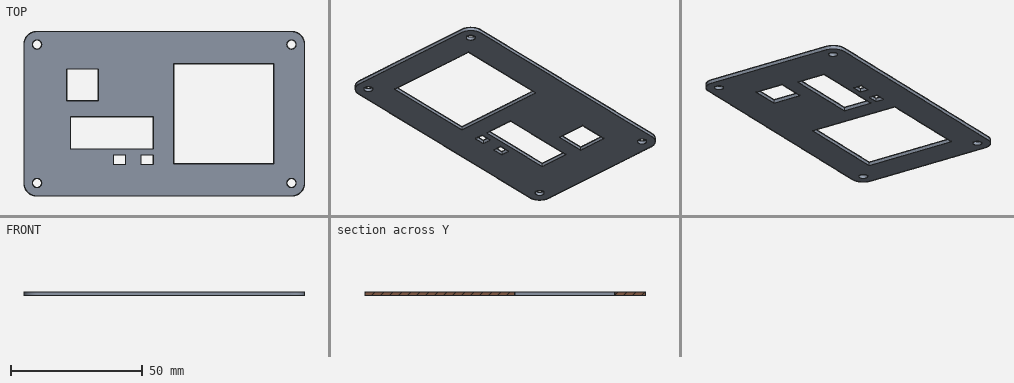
import cadquery as cq

length = 107.0
width = 62.8
thickness = 1.5
corner_radius = 5.0

hole_diameter = 3.4
hole_spacing_x = length - 2 * corner_radius
hole_spacing_y = width - 2 * corner_radius

large_window_side = 38.0
large_window_x = 22.7

small_window_side = 12.0
small_window_x = -31.1
small_window_y = 11.0

display_length = 31.4
display_width = 12.2
display_right = -4.3
display_x = display_right - display_length / 2
display_y = -7.3

button_length = 4.5
button_width = 3.5
button_pitch = 10.5
button_y = -17.5
right_button_x = display_right - button_length / 2


def rounded_plate():
    """Flat plate standing on Z = 0 with rounded vertical corners."""
    plate = cq.Workplane("XY").box(length, width, thickness, centered=(True, True, False))
    return plate.edges("|Z").fillet(corner_radius)


def mounting_holes():
    """Cutters for the four corner holes."""
    return (
        cq.Workplane("XY")
        .rect(hole_spacing_x, hole_spacing_y, forConstruction=True)
        .vertices()
        .circle(hole_diameter / 2)
        .extrude(thickness)
    )


def window(x, y, size_x, size_y):
    """Cutter for a rectangular through opening centred at (x, y)."""
    return cq.Workplane("XY").center(x, y).rect(size_x, size_y).extrude(thickness)


result = rounded_plate().cut(mounting_holes())
result = result.cut(window(large_window_x, 0, large_window_side, large_window_side))
result = result.cut(window(small_window_x, small_window_y, small_window_side, small_window_side))
result = result.cut(window(display_x, display_y, display_length, display_width))
for button_x in (right_button_x - button_pitch, right_button_x):
    result = result.cut(window(button_x, button_y, button_length, button_width))